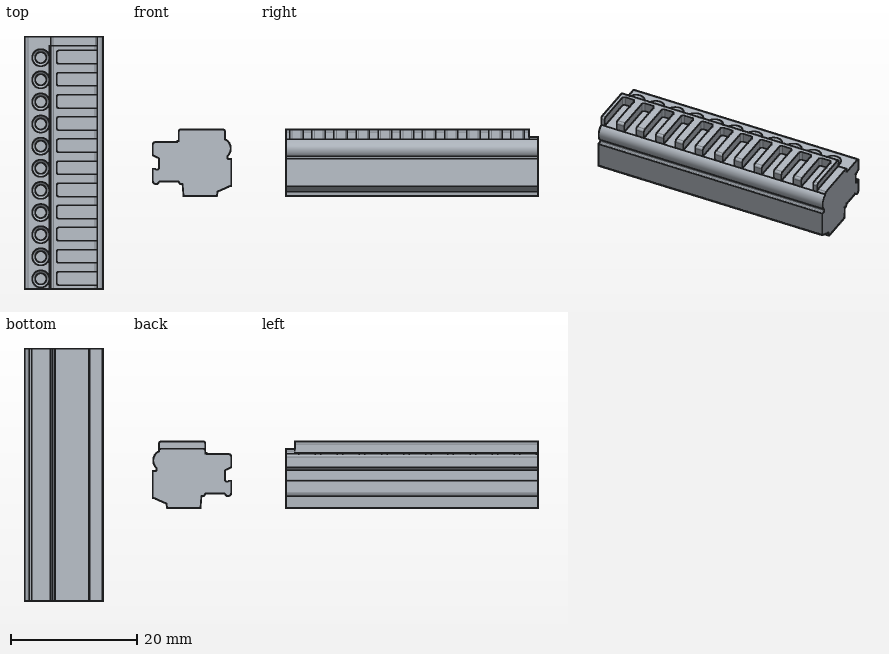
import cadquery as cq

length = 40.0
width = 12.5
height = 10.6
end_step_length = 1.45
main_length = length - end_step_length

pole_count = 11
pitch = main_length / pole_count

ledge_z = 8.6
ledge_round = 0.5

groove_depth = 1.0
groove_top_z = 6.5
groove_slope_drop = 0.5
jaw_top_z = 4.35
jaw_bottom_z = 1.9
jaw_round = 0.5
jaw_tip_end_x = 0.7
relief_z = 4.2
relief_start_x = 0.35
relief_floor_x = 0.65
relief_round = 0.3

channel_z = 2.3
channel_start_x = 1.1
channel_end_x = 4.1
shoulder_x = 4.35
foot_top_x = 4.7
foot_left_x = 4.9
foot_right_x = 10.2
foot_slope_x = 10.3
foot_slope_z = 0.7
skirt_x = 12.3
skirt_z = 1.6

lip_z = 5.9
nose_gap_x = 11.9
nose_bottom_z = 6.35
nose_x = 12.4
nose_mid_z = 7.55
gap_round = 0.15

crown_left_x = 4.1
crown_right_x = 11.5
crown_base_z = 9.05
crown_round = 0.4
end_step_drop = 1.2
end_step_round = 0.3
wall_foot_width = 0.25
wall_foot_height = 0.15

pocket_left_x = 5.1
pocket_width = 2.1
pocket_corner_round = 0.35
pocket_first_y = 1.7

screw_x = 2.55
screw_first_y = 1.6
screw_top_radius = 1.35
screw_bottom_radius = 0.9
screw_depth = 0.6


def along_y(sketch, start_y, run):
    """Extrude an XZ outline toward +Y, starting at start_y."""
    return sketch.extrude(-run).translate((0, start_y, 0))


def make_body():
    """Full-length block up to the base of the crown."""
    outline = (
        cq.Workplane("XZ")
        .moveTo(0, jaw_bottom_z + jaw_round)
        .lineTo(0, jaw_top_z)
        .lineTo(relief_start_x, jaw_top_z)
        .lineTo(relief_floor_x, relief_z)
        .lineTo(groove_depth - relief_round, relief_z)
        .radiusArc((groove_depth, relief_z + relief_round), -relief_round)
        .lineTo(groove_depth, groove_top_z - groove_slope_drop)
        .lineTo(0, groove_top_z)
        .lineTo(0, ledge_z - ledge_round)
        .radiusArc((ledge_round, ledge_z), ledge_round)
        .lineTo(crown_left_x, ledge_z)
        .lineTo(crown_left_x, crown_base_z)
        .lineTo(crown_right_x, crown_base_z)
        .threePointArc((nose_x, nose_mid_z), (nose_gap_x, nose_bottom_z))
        .lineTo(nose_gap_x, lip_z + gap_round)
        .radiusArc((nose_gap_x + gap_round, lip_z), -gap_round)
        .lineTo(width, lip_z)
        .lineTo(width, skirt_z)
        .lineTo(skirt_x, skirt_z)
        .lineTo(foot_slope_x, foot_slope_z)
        .lineTo(foot_right_x, 0)
        .lineTo(foot_left_x, 0)
        .lineTo(foot_top_x, jaw_bottom_z)
        .lineTo(shoulder_x, jaw_bottom_z)
        .lineTo(channel_end_x, channel_z)
        .lineTo(channel_start_x, channel_z)
        .lineTo(jaw_tip_end_x, jaw_bottom_z)
        .lineTo(jaw_round, jaw_bottom_z)
        .radiusArc((0, jaw_bottom_z + jaw_round), jaw_round)
        .close()
    )
    return along_y(outline, 0, length)


def make_crown(top_z, round_radius, start_y, run):
    """Bar on top of the body with both long top edges rounded."""
    outline = (
        cq.Workplane("XZ")
        .moveTo(crown_left_x, ledge_z)
        .lineTo(crown_left_x, top_z - round_radius)
        .radiusArc((crown_left_x + round_radius, top_z), round_radius)
        .lineTo(crown_right_x - round_radius, top_z)
        .radiusArc((crown_right_x, top_z - round_radius), round_radius)
        .lineTo(crown_right_x, ledge_z)
        .close()
    )
    return along_y(outline, start_y, run)


def make_wall_foot():
    """Low strip along the bottom of the crown wall."""
    return cq.Workplane("XY").box(
        wall_foot_width, main_length, wall_foot_height, centered=False
    ).translate((crown_left_x - wall_foot_width, 0, ledge_z))


def make_pocket(center_y):
    """Slot down to the crown base, round-cornered at its closed end."""
    return (
        cq.Workplane("XY")
        .box(crown_right_x - pocket_left_x, pocket_width, height - crown_base_z, centered=False)
        .edges("|Z and <X")
        .fillet(pocket_corner_round)
        .translate((pocket_left_x, center_y - pocket_width / 2, crown_base_z))
    )


def make_screw_opening(center_y):
    """Flat-bottomed cone that narrows downward from the ledge."""
    cone = cq.Solid.makeCone(
        screw_top_radius,
        screw_bottom_radius,
        screw_depth,
        pnt=cq.Vector(screw_x, center_y, ledge_z),
        dir=cq.Vector(0, 0, -1),
    )
    return cq.Workplane(cone)


result = (
    make_body()
    .union(make_crown(height, crown_round, 0, main_length))
    .union(make_crown(height - end_step_drop, end_step_round, main_length, end_step_length))
    .union(make_wall_foot())
    .clean()
)
for pole in range(pole_count):
    result = result.cut(make_pocket(pocket_first_y + pole * pitch))
    result = result.cut(make_screw_opening(screw_first_y + pole * pitch))